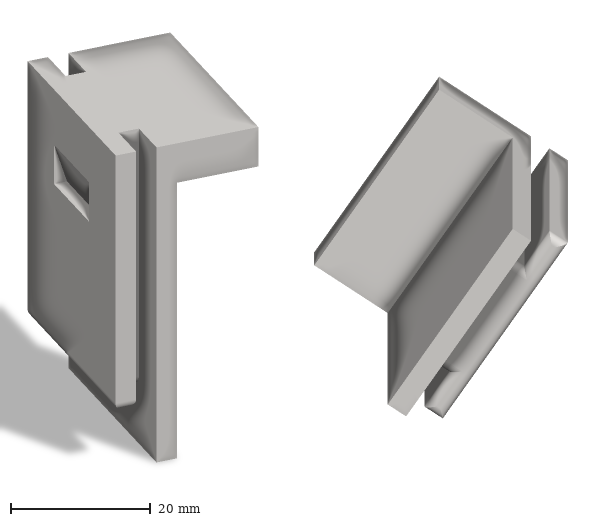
import cadquery as cq

height = 50.8
wall = height / 16
width = 10 * wall
shelf_reach = 4 * wall
shelf_thickness = 2 * wall
groove_depth = 2 * wall
front_bottom = 3 * wall
edge_radius = 1.25

window_width = 4 * wall
window_height = 2 * wall
window_bottom = 35.55
window_depth = 2.05


def block(x_size, y_start, y_size, z_start, z_size):
    """Box centred on X, starting at the given Y and Z."""
    return (
        cq.Workplane("XY")
        .box(x_size, y_size, z_size, centered=(True, False, False))
        .translate((0, y_start, z_start))
    )


front_height = height - front_bottom
front_plate = block(width, 0, wall, front_bottom, front_height)
front_plate = front_plate.faces("<Z").edges().fillet(edge_radius)

web_start = wall - edge_radius
web = block(width - 2 * groove_depth, web_start, wall + edge_radius, front_bottom, front_height)
web = web.faces("<Z").edges("|Y").fillet(edge_radius)

back_start = 2 * wall
back_plate = block(width, back_start, wall, 0, height)
shelf = block(width, back_start + wall, shelf_reach, height - shelf_thickness, shelf_thickness)

window = (
    cq.Workplane("YZ")
    .moveTo(0, window_bottom)
    .lineTo(window_depth, window_bottom)
    .lineTo(0, window_bottom + window_height)
    .close()
    .extrude(window_width / 2, both=True)
)

result = front_plate.union(web).union(back_plate).union(shelf).cut(window)